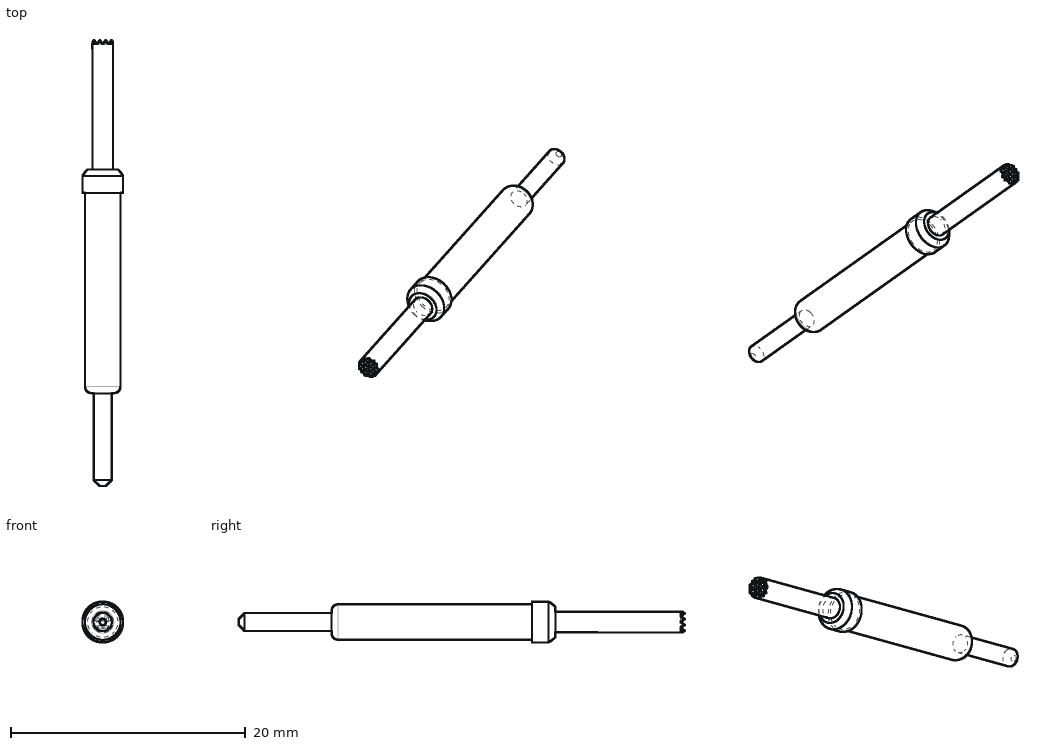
import cadquery as cq


total_length = 38.0
tail_tip_end = 0.5
barrel_start = 7.9
collar_start = 24.95
collar_end = 26.4
shoulder_end = 26.98

tail_tip_radius = 0.25
tail_diameter = 1.55
tail_radius = tail_diameter / 2
barrel_radius = 1.52
barrel_rounding = 0.57
collar_radius = 1.75
shoulder_mid_radius = 1.55
shoulder_end_radius = 1.3
plunger_diameter = 1.8
plunger_radius = plunger_diameter / 2

points_per_row = 4
point_pitch = 0.5
point_height = 0.35


def make_body():
    """Turned body: tail, barrel, collar and plunger in one revolved profile."""
    shoulder_mid = (collar_end + shoulder_end) / 2
    rounding_corner = barrel_rounding * (1 - 0.5**0.5)
    profile = (
        cq.Workplane("XY")
        .lineTo(tail_tip_radius, 0)
        .lineTo(tail_radius, tail_tip_end)
        .lineTo(tail_radius, barrel_start)
        .lineTo(barrel_radius - barrel_rounding, barrel_start)
        .threePointArc(
            (barrel_radius - rounding_corner, barrel_start + rounding_corner),
            (barrel_radius, barrel_start + barrel_rounding),
        )
        .lineTo(barrel_radius, collar_start)
        .lineTo(collar_radius, collar_start)
        .lineTo(collar_radius, collar_end)
        .threePointArc((shoulder_mid_radius, shoulder_mid), (shoulder_end_radius, shoulder_end))
        .lineTo(plunger_radius, shoulder_end)
        .lineTo(plunger_radius, total_length)
        .lineTo(0, total_length)
        .close()
    )
    return profile.revolve(360, (0, 0, 0), (0, 1, 0))


def make_groove(offset):
    """V groove along Z across the crown, with its bottom at X = offset."""
    half_pitch = point_pitch / 2
    return (
        cq.Workplane("XY", origin=(offset, total_length, 0))
        .moveTo(0, -point_height)
        .lineTo(half_pitch, 0)
        .lineTo(-half_pitch, 0)
        .close()
        .extrude(2 * plunger_radius, both=True)
    )


def cut_crown(body):
    """Cut crossing rows of grooves, leaving sharp points between them."""
    for row in range(points_per_row + 1):
        groove = make_groove((row - points_per_row / 2) * point_pitch)
        crossing_groove = groove.rotate((0, 0, 0), (0, 1, 0), 90)
        body = body.cut(groove).cut(crossing_groove)
    return body


result = cut_crown(make_body()).translate((0, -total_length / 2, 0))